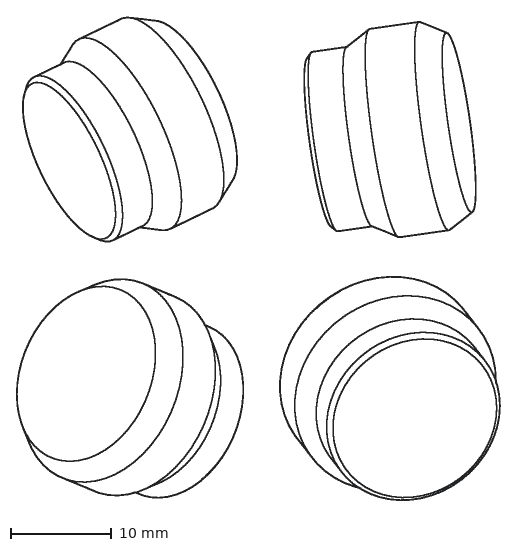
import cadquery as cq
import math

body_radius = 10.44
total_length = 14.0
body_length = 4.99
taper_length = 2.5
taper_angle = 30.0
end_chamfer = 0.5

neck_radius = body_radius - taper_length * math.tan(math.radians(taper_angle))

body_end = total_length - taper_length
body_start = body_end - body_length
neck_end = body_start - taper_length

result = (
    cq.Workplane("XY")
    .moveTo(0, 0)
    .lineTo(neck_radius - end_chamfer, 0)
    .lineTo(neck_radius, end_chamfer)
    .lineTo(neck_radius, neck_end)
    .lineTo(body_radius, body_start)
    .lineTo(body_radius, body_end)
    .lineTo(neck_radius, total_length)
    .lineTo(0, total_length)
    .close()
    .revolve(360, (0, 0, 0), (0, 1, 0))
)